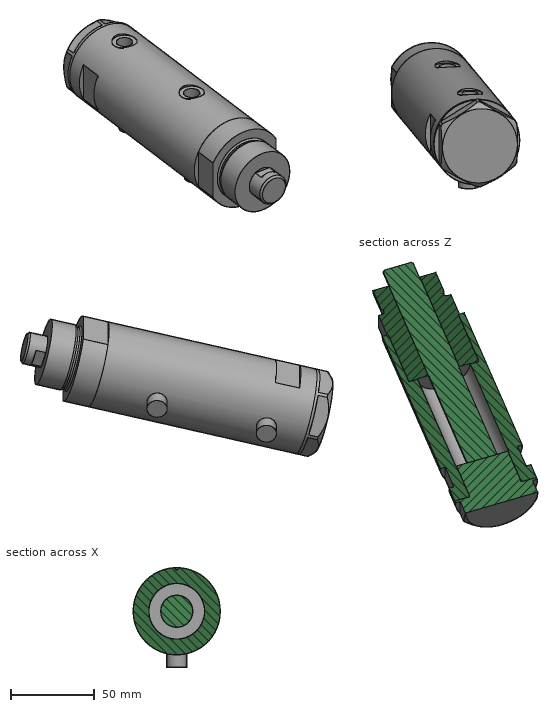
import cadquery as cq
import math

total_length = 184.4
total_height = 59.4
body_diameter = 52.0
body_radius = body_diameter / 2
across_flats = 46.0

hex_length = 9.0
hex_face_diameter = 45.4
hex_chamfer_length = body_radius - hex_face_diameter / 2
cap_flange_length = 1.8
cap_plug_end = 34.6

housing_start = hex_length + cap_flange_length
housing_end = 139.0
bore_diameter = 33.0
housing_flat_start = 20.7
wrench_flat_length = 15.0
port_positions = (30.5, 99.7)
port_diameter = 9.8
port_seat_diameter = 15.0
port_seat_height = 24.8
boss_positions = (34.9, 102.4)
boss_diameter = 12.0
boss_end = total_height - body_radius

gland_plug_start = 102.4
gland_plug_diameter = 44.0
gland_collar_end = 154.2
nose_diameter = 40.0
nose_radius = nose_diameter / 2
nose_start = 157.8
nose_end = 172.5
groove_depth = 1.0
groove_floor_length = 1.2

rod_diameter = 19.2
rod_flat_width = 16.2
rod_flat_length = 6.0
rod_chamfer = 1.2


def cylinder_along_x(diameter, start, end):
    return cq.Workplane("YZ").workplane(offset=start).circle(diameter / 2).extrude(end - start)


def slab_along_x(width, start, end, axis):
    """Block centred on the axis, `width` thick along Y or Z, wider than the part the other way."""
    wide = 2 * body_diameter
    size_y, size_z = (width, wide) if axis == "Y" else (wide, width)
    return cq.Workplane("YZ").workplane(offset=start).rect(size_y, size_z).extrude(end - start)


def cut_wrench_flats(solid, width, start, end, axis):
    """Remove what lies outside two parallel flats over the stretch from start to end."""
    blank = cylinder_along_x(2 * body_diameter, start, end)
    return solid.cut(blank.cut(slab_along_x(width, start, end, axis)))


def revolve_about_x(points):
    return cq.Workplane("XY").polyline(points).close().revolve(360, (0, 0, 0), (1, 0, 0))


def make_cap():
    corner_diameter = across_flats / math.cos(math.pi / 6)
    hexagon = (
        cq.Workplane("YZ")
        .transformed(rotate=(0, 0, 90))
        .polygon(6, corner_diameter)
        .extrude(hex_length)
    )
    chamfered_blank = revolve_about_x([
        (0, 0),
        (0, hex_face_diameter / 2),
        (hex_chamfer_length, body_radius),
        (hex_length, body_radius),
        (hex_length, 0),
    ])
    flange = cylinder_along_x(body_diameter, hex_length, housing_start)
    plug = cylinder_along_x(bore_diameter, housing_start, cap_plug_end)
    return hexagon.intersect(chamfered_blank).union(flange).union(plug)


def make_port(x):
    top = cq.Workplane("XY").center(x, 0)
    drill = top.circle(port_diameter / 2).extrude(body_radius)
    seat = top.workplane(offset=port_seat_height).circle(port_seat_diameter / 2).extrude(body_radius)
    return drill.union(seat)


def make_boss(x):
    return cq.Workplane("XY").center(x, 0).circle(boss_diameter / 2).extrude(-boss_end)


def make_housing():
    housing = cylinder_along_x(body_diameter, housing_start, housing_end)
    flat_end = housing_flat_start + wrench_flat_length
    housing = cut_wrench_flats(housing, across_flats, housing_flat_start, flat_end, "Y")
    for x in boss_positions:
        housing = housing.union(make_boss(x))
    for x in port_positions:
        housing = housing.cut(make_port(x))
    bore = cylinder_along_x(bore_diameter, housing_start, gland_plug_start)
    gland_seat = cylinder_along_x(gland_plug_diameter, gland_plug_start, housing_end)
    return housing.cut(bore).cut(gland_seat)


def make_gland():
    groove_radius = nose_radius - groove_depth
    groove_floor_start = gland_collar_end + groove_depth
    gland = revolve_about_x([
        (gland_plug_start, 0),
        (gland_plug_start, gland_plug_diameter / 2),
        (housing_end, gland_plug_diameter / 2),
        (housing_end, body_radius),
        (gland_collar_end, body_radius),
        (gland_collar_end, nose_radius),
        (groove_floor_start, groove_radius),
        (groove_floor_start + groove_floor_length, groove_radius),
        (nose_start, nose_radius),
        (nose_end, nose_radius),
        (nose_end, 0),
    ])
    gland = cut_wrench_flats(gland, across_flats, housing_end, gland_collar_end, "Y")
    return gland.cut(cylinder_along_x(rod_diameter, gland_plug_start, nose_end))


def make_rod():
    rod = cylinder_along_x(rod_diameter, cap_plug_end, total_length).faces(">X").chamfer(rod_chamfer)
    return cut_wrench_flats(rod, rod_flat_width, nose_end, nose_end + rod_flat_length, "Z")


cap = make_cap()
housing = make_housing()
gland = make_gland()
rod = make_rod()

result = cq.Compound.makeCompound([cap.val(), housing.val(), gland.val(), rod.val()])